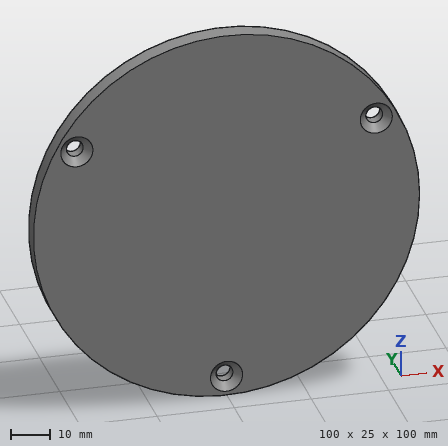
import cadquery as cq
import math

disc_diameter = 100.0
disc_thickness = 5.0

total_depth = 25.0
tip_half_angle = math.radians(31.0)
tip_handle_radius = 11.5
foot_handle_radius = 8.5

hole_count = 3
hole_diameter = 4.3
hole_circle_radius = 44.75
countersink_diameter = 8.3
countersink_half_angle = math.radians(45.0)

disc_radius = disc_diameter / 2
countersink_width = (countersink_diameter - hole_diameter) / 2
countersink_depth = countersink_width / math.tan(countersink_half_angle)


def make_body():
    """Revolve the disc and its concave spike about the Y axis as one profile."""
    tip_handle_y = total_depth - tip_handle_radius / math.tan(tip_half_angle)
    flare = [
        (disc_radius, disc_thickness),
        (foot_handle_radius, disc_thickness),
        (tip_handle_radius, tip_handle_y),
        (0, total_depth),
    ]
    profile = (
        cq.Workplane("XY")
        .lineTo(disc_radius, 0)
        .lineTo(disc_radius, disc_thickness)
        .bezier(flare)
        .close()
    )
    return profile.revolve(360, (0, 0, 0), (0, 1, 0))


def make_hole_cutter():
    """Through hole with a countersink in the flat -Y face, on the -Z radius."""
    face = cq.Workplane("XZ").center(0, -hole_circle_radius)
    through_hole = face.circle(hole_diameter / 2).extrude(-total_depth)
    countersink = cq.Workplane(
        cq.Solid.makeCone(
            countersink_diameter / 2,
            hole_diameter / 2,
            countersink_depth,
            cq.Vector(0, 0, -hole_circle_radius),
            cq.Vector(0, 1, 0),
        )
    )
    return through_hole.union(countersink)


result = make_body()
hole_cutter = make_hole_cutter()
for index in range(hole_count):
    angle = index * 360 / hole_count
    result = result.cut(hole_cutter.rotate((0, 0, 0), (0, 1, 0), angle))